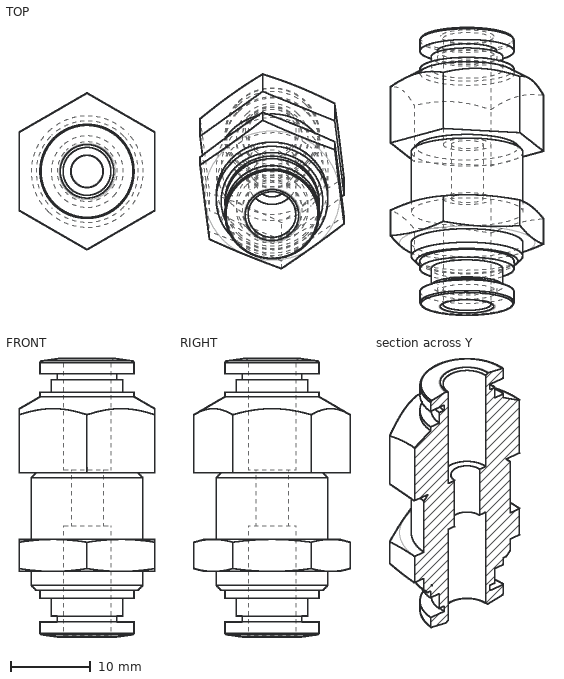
import cadquery as cq
import math

length = 34.9
across_flats = 17.0
across_corners = across_flats / math.cos(math.radians(30))

flange_radius = 11.8 / 2
sleeve_radius = 9.0 / 2
neck_radius = 7.5 / 2
body_radius = 14.0 / 2
tube_radius = 6.0 / 2
bore_radius = 4.0 / 2

flange_height = 1.92
neck_end = 2.65
rim_chamfer_width = 0.15
rim_chamfer_height = 0.2
crown_height = 0.3
crown_flat_radius = 3.52
mouth_chamfer_radius = 3.35
mouth_depth = 0.25
tube_depth = 13.95

lower_shoulder = 4.85
body_bottom = 5.85
nut_bottom = 8.25
nut_top = 12.25
hex_bottom = 20.6
cone_top = 30.12
upper_shoulder = 30.68
body_chamfer = 0.63

head_cone_angle = 30.0
nut_face_radius = 8.48
nut_chamfer_angle = 15.0


def cylinder(radius, bottom, top):
    return cq.Workplane("XY").workplane(offset=bottom).circle(radius).extrude(top - bottom)


def hexagon(bottom, top):
    """Hexagonal prism with two corners on the Y axis."""
    prism = cq.Workplane("XY").polygon(6, across_corners).extrude(top - bottom)
    return prism.rotate((0, 0, 0), (0, 0, 1), 30).translate((0, 0, bottom))


def revolve_profile(points):
    """Turn (radius, height) points about the Z axis."""
    return cq.Workplane("XZ").polyline(points).close().revolve(360, (0, 0, 0), (0, 1, 0))


def mirror_ends(shape):
    """Copy an upper-end shape to the bottom end."""
    return shape.union(shape.mirror("XY", (0, 0, length / 2)))


def release_collar():
    """Crowned flange on a narrow neck at the upper end."""
    crown_base = length - crown_height
    flange = revolve_profile([
        (0, length - flange_height),
        (flange_radius, length - flange_height),
        (flange_radius, crown_base - rim_chamfer_height),
        (flange_radius - rim_chamfer_width, crown_base),
        (crown_flat_radius, length),
        (0, length),
    ])
    return flange.union(cylinder(neck_radius, length - neck_end, length - flange_height))


def tube_socket():
    """Cutter for the tapered mouth and the tube socket at the upper end."""
    return revolve_profile([
        (0, length),
        (mouth_chamfer_radius, length),
        (tube_radius, length - mouth_depth),
        (tube_radius, length - tube_depth),
        (0, length - tube_depth),
    ])


def hex_head():
    """Hexagon whose upper end tapers into the upper shoulder."""
    corner_radius = across_corners / 2
    cone_height = (corner_radius - flange_radius) * math.tan(math.radians(head_cone_angle))
    envelope = revolve_profile([
        (0, hex_bottom),
        (corner_radius, hex_bottom),
        (corner_radius, cone_top - cone_height),
        (flange_radius, cone_top),
        (0, cone_top),
    ])
    return hexagon(hex_bottom, cone_top).intersect(envelope)


def lock_nut():
    """Hexagon nut with its corners chamfered on both faces."""
    corner_radius = across_corners / 2
    drop = (corner_radius - nut_face_radius) * math.tan(math.radians(nut_chamfer_angle))
    envelope = revolve_profile([
        (0, nut_bottom),
        (nut_face_radius, nut_bottom),
        (corner_radius, nut_bottom + drop),
        (corner_radius, nut_top - drop),
        (nut_face_radius, nut_top),
        (0, nut_top),
    ])
    return hexagon(nut_bottom, nut_top).intersect(envelope)


barrel = cylinder(body_radius, body_bottom, hex_bottom).edges().chamfer(body_chamfer)
sleeve = cylinder(sleeve_radius, neck_end, length - neck_end)
shoulders = cylinder(flange_radius, lower_shoulder, upper_shoulder)

result = (
    barrel.union(sleeve)
    .union(shoulders)
    .union(hex_head())
    .union(lock_nut())
    .union(mirror_ends(release_collar()))
    .cut(mirror_ends(tube_socket()))
    .cut(cylinder(bore_radius, 0, length))
)